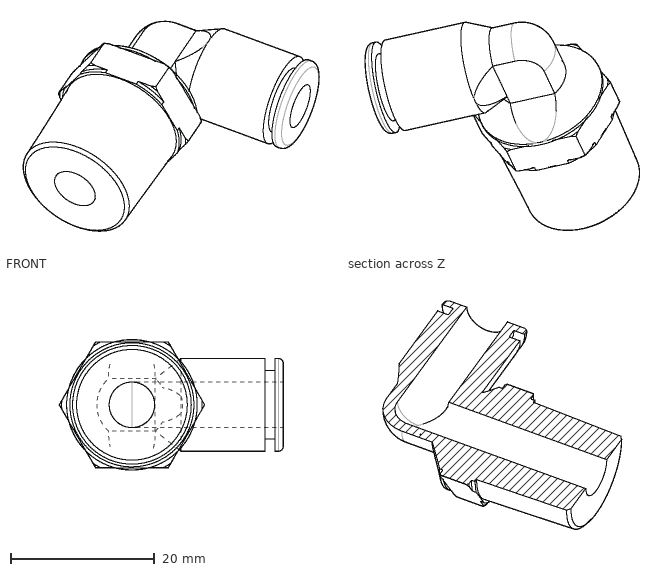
import cadquery as cq

elbow_radius = 4.9
elbow_flat = 3.65
bore_radius = 3.15

port_radius = 6.47
port_cone_start = 3.25
port_cone_end = 6.85
port_shoulder = 18.55
port_neck_radius = 4.8
ring_start = 19.9
port_end = 21.05
ring_round = 0.7

collar_radius = 9.1
stem_cone_start = 4.75
stem_cone_end = 8.05
hex_start = 8.55
hex_end = 13.08
hex_corner_diameter = 20.25
hex_chamfer_width = 0.35
hex_chamfer_height = 0.2
flange_end = 13.65

thread_start_radius = 8.65
thread_end_radius = 8.25
thread_tip_radius = 7.7
thread_chamfer_height = 0.4
stem_end = 27.95


def revolve_along_stem(profile):
    """Revolve (radius, distance along -Y) points about the Y axis."""
    points = [(radius, -distance) for radius, distance in profile]
    return cq.Workplane("XY").polyline(points).close().revolve(360, (0, 0, 0), (0, 1, 0))


def revolve_along_port(profile):
    """Revolve (distance along +X, radius) points about the X axis."""
    return cq.Workplane("XY").polyline(profile).close().revolve(360, (0, 0, 0), (1, 0, 0))


def flat_envelope(plane, direction, cone_start, cone_end, end_half_width):
    """Prism bounded by the two elbow flats, flaring out along a cone."""
    start = direction * cone_start
    end = direction * cone_end
    back = -direction * elbow_radius
    outline = [
        (back, elbow_flat), (start, elbow_flat), (end, end_half_width),
        (end, -end_half_width), (start, -elbow_flat), (back, -elbow_flat),
    ]
    return cq.Workplane(plane).polyline(outline).close().extrude(collar_radius, both=True)


def make_corner():
    ball = cq.Workplane("XY").sphere(elbow_radius)
    slab = cq.Workplane("XY").box(2 * elbow_radius, 2 * elbow_radius, 2 * elbow_flat)
    return ball.intersect(slab)


def make_stem_arm():
    arm = revolve_along_stem([
        (0, 0), (elbow_radius, 0), (elbow_radius, stem_cone_start),
        (collar_radius, stem_cone_end), (0, stem_cone_end),
    ])
    return arm.intersect(
        flat_envelope("YZ", -1, stem_cone_start, stem_cone_end, collar_radius))


def make_port_arm():
    arm = revolve_along_port([
        (0, 0), (0, elbow_radius), (port_cone_start, elbow_radius),
        (port_cone_end, port_radius), (port_cone_end, 0),
    ])
    return arm.intersect(
        flat_envelope("XZ", 1, port_cone_start, port_cone_end, port_radius))


def make_port():
    body = revolve_along_port([
        (port_cone_end, 0), (port_cone_end, port_radius), (port_shoulder, port_radius),
        (port_shoulder, port_neck_radius), (ring_start, port_neck_radius), (ring_start, 0),
    ])
    ring = cq.Workplane("YZ").workplane(offset=ring_start).circle(port_radius)
    ring = ring.extrude(port_end - ring_start).faces(">X").edges().fillet(ring_round)
    return body.union(ring)


def make_hex():
    """Hexagon with chamfered corners above a round flange trimmed to its flats."""
    corner_radius = hex_corner_diameter / 2
    chamfer_radius = corner_radius - hex_chamfer_width
    prism = cq.Workplane("XZ").workplane(offset=hex_start)
    prism = prism.polygon(6, hex_corner_diameter).extrude(flange_end - hex_start)
    envelope = revolve_along_stem([
        (0, hex_start), (chamfer_radius, hex_start),
        (corner_radius, hex_start + hex_chamfer_height),
        (corner_radius, hex_end - hex_chamfer_height),
        (chamfer_radius, hex_end), (collar_radius, hex_end),
        (collar_radius, flange_end), (0, flange_end),
    ])
    return prism.intersect(envelope)


def make_collar_and_thread():
    collar = revolve_along_stem([
        (0, stem_cone_end), (collar_radius, stem_cone_end),
        (collar_radius, hex_start), (0, hex_start),
    ])
    thread = revolve_along_stem([
        (0, flange_end), (thread_start_radius, flange_end),
        (thread_end_radius, stem_end - thread_chamfer_height),
        (thread_tip_radius, stem_end), (0, stem_end),
    ])
    return collar.union(make_hex()).union(thread)


def make_bore():
    """Equal bores along both arms, meeting in a rounded corner."""
    stem_bore = cq.Workplane("XZ").circle(bore_radius).extrude(stem_end)
    port_bore = cq.Workplane("YZ").circle(bore_radius).extrude(port_end)
    return stem_bore.union(port_bore).union(cq.Workplane("XY").sphere(bore_radius))


result = (
    make_corner()
    .union(make_stem_arm())
    .union(make_port_arm())
    .union(make_port())
    .union(make_collar_and_thread())
    .cut(make_bore())
)